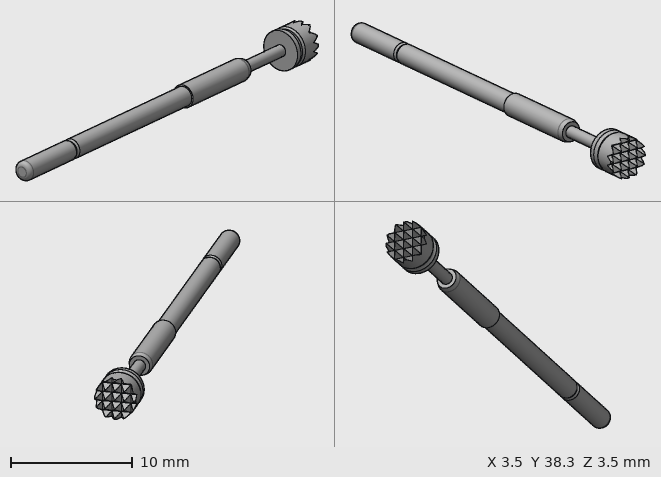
import cadquery as cq
import math

length = 38.3

head_diameter = 3.5
head_end = 3.05
head_groove_start = 2.0
head_groove_root = 2.22
head_groove_end = 2.6
head_groove_depth = 0.125

plunger_diameter = 1.05

collar_diameter = 2.0
collar_start = 8.25
collar_end = 16.3
collar_chamfer_length = 0.45

barrel_diameter = 1.72
barrel_groove_start = 31.55
barrel_groove_end = 32.0
barrel_groove_depth = 0.1
tail_radius = 0.42

tooth_pitch = 0.8
tooth_angle = 56.0
teeth_across = 5

head_radius = head_diameter / 2
plunger_radius = plunger_diameter / 2
collar_radius = collar_diameter / 2
barrel_radius = barrel_diameter / 2
tip_y = length / 2
tooth_depth = tooth_pitch / 2 / math.tan(math.radians(tooth_angle / 2))


def station(distance):
    """Y coordinate at a distance from the crown tips."""
    return tip_y - distance


def turned_body():
    """Head, plunger, collar and barrel revolved as one profile about Y."""
    barrel_groove_middle = (barrel_groove_start + barrel_groove_end) / 2
    head_groove_run = head_groove_end - head_groove_root
    head_groove_arc_radius = (head_groove_run**2 + head_groove_depth**2) / (2 * head_groove_depth)
    tail_arc_inset = tail_radius * (1 - math.cos(math.radians(45)))
    return (
        cq.Workplane("XY")
        .moveTo(0, tip_y)
        .lineTo(head_radius, tip_y)
        .lineTo(head_radius, station(head_groove_start))
        .lineTo(head_radius - head_groove_depth, station(head_groove_root))
        .radiusArc((head_radius, station(head_groove_end)), -head_groove_arc_radius)
        .lineTo(head_radius, station(head_end))
        .lineTo(plunger_radius, station(head_end))
        .lineTo(plunger_radius, station(collar_start))
        .lineTo(barrel_radius, station(collar_start))
        .lineTo(collar_radius, station(collar_start + collar_chamfer_length))
        .lineTo(collar_radius, station(collar_end))
        .lineTo(barrel_radius, station(collar_end))
        .lineTo(barrel_radius, station(barrel_groove_start))
        .lineTo(barrel_radius - barrel_groove_depth, station(barrel_groove_middle))
        .lineTo(barrel_radius, station(barrel_groove_end))
        .lineTo(barrel_radius, station(length - tail_radius))
        .threePointArc(
            (barrel_radius - tail_arc_inset, station(length - tail_arc_inset)),
            (barrel_radius - tail_radius, station(length)),
        )
        .lineTo(0, station(length))
        .close()
        .revolve(360, (0, 0, 0), (0, 1, 0))
    )


def tooth_groove(valley_x):
    """V groove cut along Z with its valley at valley_x."""
    half_pitch = tooth_pitch / 2
    return (
        cq.Workplane("XY")
        .moveTo(valley_x - half_pitch, tip_y)
        .lineTo(valley_x, tip_y - tooth_depth)
        .lineTo(valley_x + half_pitch, tip_y)
        .close()
        .extrude(head_radius, both=True)
    )


def cut_teeth(body):
    """Cross two sets of V grooves on the crown, leaving a grid of pyramid teeth."""
    for turn in (0, 90):
        for index in range(teeth_across + 1):
            valley_x = (index - teeth_across / 2) * tooth_pitch
            groove = tooth_groove(valley_x)
            body = body.cut(groove.rotate((0, 0, 0), (0, 1, 0), turn))
    return body


result = cut_teeth(turned_body())